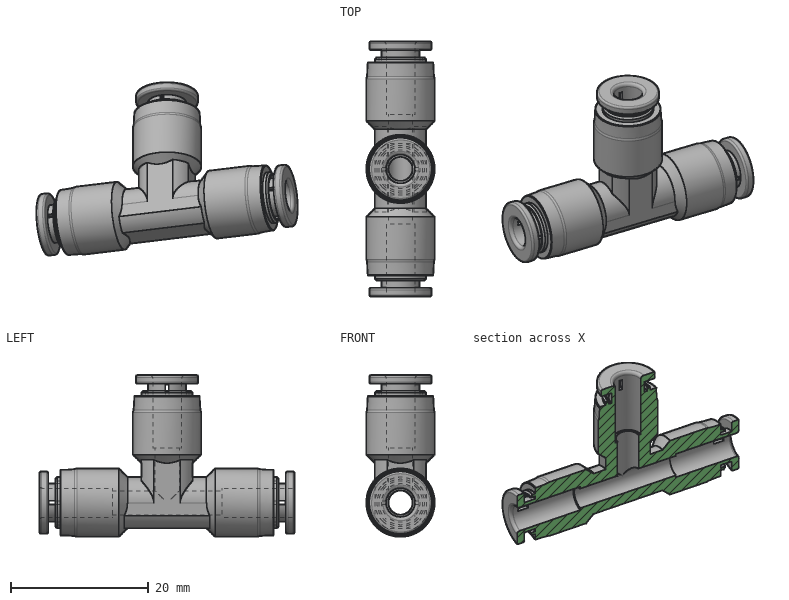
import cadquery as cq


arm_length = 18.6
flange_thickness = 1.3
flange_inner = arm_length - flange_thickness
ring_end = 16.3
cap_end = 15.55
cap_taper_start = 13.5
body_end = 13.15
body_start = 7.0
tube_stop = 8.0

flange_radius = 4.55
flange_fillet = 0.3
neck_radius = 2.8
ring_radius = 3.75
ring_inner_radius = 3.2
ring_chamfer = 0.3
cap_end_radius = 4.8
cap_base_radius = 4.9
cap_rim_chamfer = 0.1
body_radius = 5.0

tube_radius = 2.1
tube_entry_fillet = 0.5
passage_radius = 1.75
slit_width = 0.5
slit_top_gap = 0.1

stem_half_width = 3.75
stem_corner_radius = 4.22

shoulder_drop = body_radius - stem_half_width
shoulder_start = body_start - shoulder_drop


def make_head():
    """Turned body, cap, ring and release collar of one arm, pointing along +Z."""
    body = (
        cq.Workplane("XZ")
        .moveTo(0, shoulder_start)
        .lineTo(stem_half_width, shoulder_start)
        .lineTo(body_radius, body_start)
        .lineTo(body_radius, body_end)
        .lineTo(cap_base_radius, cap_taper_start)
        .lineTo(cap_end_radius, cap_end - cap_rim_chamfer)
        .lineTo(cap_end_radius - cap_rim_chamfer, cap_end)
        .lineTo(0, cap_end)
        .close()
        .revolve(360, (0, 0, 0), (0, 1, 0))
    )
    ring_height = ring_end - cap_end
    ring_hole = (
        cq.Workplane("XY", origin=(0, 0, cap_end))
        .circle(ring_inner_radius)
        .extrude(ring_height)
    )
    ring = (
        cq.Workplane("XY", origin=(0, 0, cap_end))
        .circle(ring_radius)
        .extrude(ring_height)
        .faces(">Z")
        .edges()
        .chamfer(ring_chamfer)
        .cut(ring_hole)
    )
    neck = (
        cq.Workplane("XY", origin=(0, 0, body_end))
        .circle(neck_radius)
        .extrude(flange_inner - body_end)
    )
    flange = (
        cq.Workplane("XY", origin=(0, 0, flange_inner))
        .circle(flange_radius)
        .extrude(flange_thickness)
        .edges()
        .fillet(flange_fillet)
    )
    return body.union(ring).union(neck).union(flange)


def make_arm_cutter():
    """Passage, tube socket with rounded mouth, and collet slit of one arm."""
    passage = cq.Workplane("XY").circle(passage_radius).extrude(arm_length)
    mouth_radius = tube_radius + tube_entry_fillet
    entry_start = arm_length - tube_entry_fillet
    socket = (
        cq.Workplane("XZ")
        .moveTo(0, tube_stop)
        .lineTo(tube_radius, tube_stop)
        .lineTo(tube_radius, entry_start)
        .radiusArc((mouth_radius, arm_length), tube_entry_fillet)
        .lineTo(0, arm_length)
        .close()
        .revolve(360, (0, 0, 0), (0, 1, 0))
    )
    slit_length = flange_inner - slit_top_gap - cap_end
    slit = (
        cq.Workplane("XY", origin=(0, 0, cap_end))
        .box(2 * neck_radius, slit_width, slit_length, centered=(True, True, False))
    )
    return passage.union(socket).union(slit)


def make_stem(length):
    """Branch stem: square bar with rounded corners, from the origin along +Z."""
    side = 2 * stem_half_width
    square = cq.Workplane("XY").rect(side, side).extrude(length)
    return square.intersect(cq.Workplane("XY").circle(stem_corner_radius).extrude(length))


def make_run_bar():
    """Bar along Y: round above the axis, flat-sided with rounded corners below it."""
    length = 2 * body_start
    side = 2 * stem_half_width
    plane = cq.Plane(origin=(0, -body_start, 0), xDir=(-1, 0, 0), normal=(0, 1, 0))
    upper = cq.Workplane(plane).circle(stem_half_width).extrude(length)
    square = cq.Workplane(plane).rect(side, side).extrude(length)
    lower = square.intersect(cq.Workplane(plane).circle(stem_corner_radius).extrude(length))
    above_axis = cq.Workplane("XY").box(side, length, stem_half_width, centered=(True, True, False))
    return upper.union(lower.cut(above_axis))


def place_on_arms(shape):
    """Copies of a +Z arm shape on the branch and on both ends of the run."""
    return [shape.rotate((0, 0, 0), (1, 0, 0), angle) for angle in (0, 90, -90)]


result = make_run_bar().union(make_stem(body_start))
for head in place_on_arms(make_head()):
    result = result.union(head)
for cutter in place_on_arms(make_arm_cutter()):
    result = result.cut(cutter)